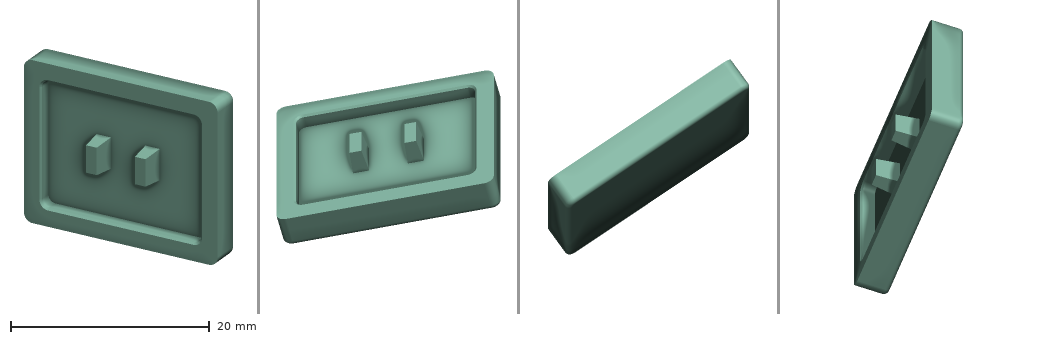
import cadquery as cq

width = 22.5
height = 18.0
total_depth = 4.5
peg_projection = 1.0
plate_depth = total_depth - peg_projection
corner_radius = 1.0
back_edge_radius = 0.5

rim = 2.0
pocket_depth = 1.5
pocket_corner_radius = 0.79
mouth_chamfer = 0.2

peg_spacing = 5.67
peg_base_width = 1.66
peg_base_height = 3.46
peg_taper_angle = 5.0

front_y = -plate_depth / 2
floor_y = front_y + pocket_depth
peg_length = pocket_depth + peg_projection


def front_plane(y):
    """Sketch plane at the given Y, with its normal toward -Y."""
    return cq.Workplane("XZ", origin=(0, y, 0))


def make_plate():
    plate = front_plane(-front_y).rect(width, height).extrude(plate_depth)
    plate = plate.edges("|Y").fillet(corner_radius)
    return plate.faces(">Y").edges().fillet(back_edge_radius)


def cut_pocket(plate):
    opening = cq.Sketch().rect(width - 2 * rim, height - 2 * rim)
    opening = opening.vertices().fillet(pocket_corner_radius)
    pocket = front_plane(front_y).placeSketch(opening).extrude(-pocket_depth)
    pocketed = plate.cut(pocket)
    mouth_edges = pocketed.faces("<Y").edges(cq.selectors.BoxSelector(
        (-width / 2 + rim / 2, front_y - mouth_chamfer, -height / 2 + rim / 2),
        (width / 2 - rim / 2, front_y + mouth_chamfer, height / 2 - rim / 2),
    ))
    return mouth_edges.chamfer(mouth_chamfer)


def make_pegs():
    pegs = front_plane(floor_y).pushPoints([(-peg_spacing / 2, 0), (peg_spacing / 2, 0)])
    pegs = pegs.rect(peg_base_width, peg_base_height)
    return pegs.extrude(peg_length, taper=peg_taper_angle)


result = cut_pocket(make_plate()).union(make_pegs())